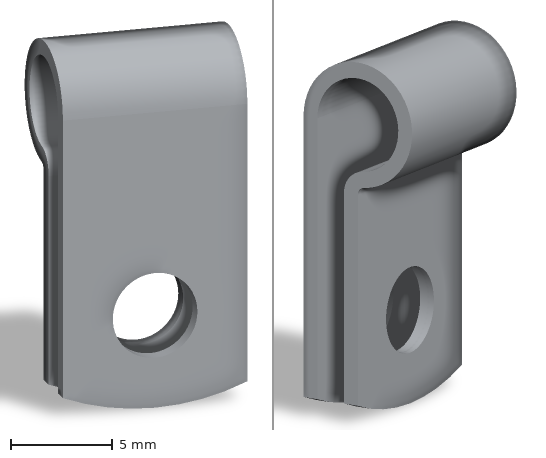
import cadquery as cq
import math

thickness = 0.81
loop_diameter = 4.75
width = 9.53
total_height = 18.44
bend_radius = 0.4
hole_diameter = 4.37
hole_edge_distance = width / 2
end_radius = 12.7

inner_radius = loop_diameter / 2
outer_radius = inner_radius + thickness
bottom = outer_radius - total_height
hole_height = bottom + hole_edge_distance

center_distance = outer_radius + bend_radius
bend_center_x = -bend_radius
bend_center_z = -math.sqrt(center_distance**2 - bend_radius**2)
tangent_angle = math.atan2(bend_center_z, bend_center_x)
bend_start_angle = tangent_angle + math.pi


def loop_point(radius, angle):
    """Point on a circle about the loop axis."""
    return (radius * math.cos(angle), radius * math.sin(angle))


def bend_point(radius, angle):
    """Point on a circle about the bend axis."""
    return (bend_center_x + radius * math.cos(angle), bend_center_z + radius * math.sin(angle))


def make_strip():
    """Bent strip: long leg, loop, reverse bend and short leg."""
    bend_outer_radius = bend_radius + thickness
    bend_mid_angle = bend_start_angle / 2
    loop_mid_angle = (2 * math.pi + tangent_angle) / 2
    profile = (
        cq.Workplane("XZ")
        .moveTo(outer_radius, bottom)
        .lineTo(outer_radius, 0)
        .threePointArc(loop_point(outer_radius, loop_mid_angle), loop_point(outer_radius, tangent_angle))
        .threePointArc(bend_point(bend_radius, bend_mid_angle), bend_point(bend_radius, 0))
        .lineTo(0, bottom)
        .lineTo(thickness, bottom)
        .lineTo(thickness, bend_center_z)
        .threePointArc(bend_point(bend_outer_radius, bend_mid_angle), loop_point(inner_radius, tangent_angle))
        .threePointArc(loop_point(inner_radius, loop_mid_angle), (inner_radius, 0))
        .lineTo(inner_radius, bottom)
        .close()
    )
    return profile.extrude(width / 2, both=True)


def make_end_envelope():
    """Block around the strip whose underside is the convex arc of the leg ends."""
    half_width = width / 2
    end_rise = end_radius - math.sqrt(end_radius**2 - half_width**2)
    return (
        cq.Workplane("YZ")
        .moveTo(-half_width, outer_radius)
        .lineTo(-half_width, bottom + end_rise)
        .threePointArc((0, bottom), (half_width, bottom + end_rise))
        .lineTo(half_width, outer_radius)
        .close()
        .extrude(outer_radius, both=True)
    )


def make_screw_hole():
    """Cylinder along X that pierces both legs."""
    return (
        cq.Workplane("YZ")
        .center(0, hole_height)
        .circle(hole_diameter / 2)
        .extrude(outer_radius, both=True)
    )


result = make_strip().intersect(make_end_envelope()).cut(make_screw_hole())